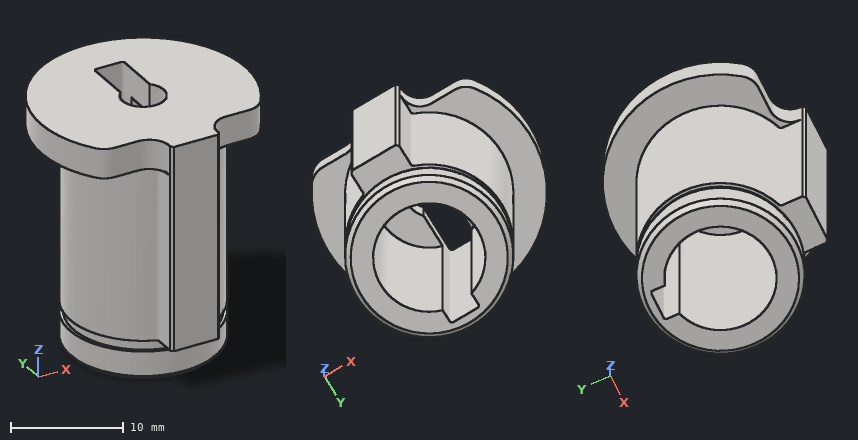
import cadquery as cq
import math

height = 25.0
barrel_radius = 7.5
groove_radius = 7.15
groove_bottom = 3.0
groove_top = 4.1
bottom_chamfer = 0.5

flange_radius = 10.5
flange_thickness = 3.0
flat_y = -7.0
blend_radius = 2.0

key_width = 5.0
key_front_y = -9.5
key_chamfer = 0.25
key_root_radius = 0.25

hole_radius = 2.1
slot_width = 3.0
slot_end_y = 6.2
slot_corner_radius = 0.25

bore_radius = 5.0


def make_barrel():
    """Round barrel with a retaining groove and a chamfered lower edge."""
    barrel = cq.Workplane("XY").circle(barrel_radius).extrude(height)
    barrel = barrel.faces("<Z").edges().chamfer(bottom_chamfer)
    groove = (
        cq.Workplane("XY", origin=(0, 0, groove_bottom))
        .circle(barrel_radius)
        .circle(groove_radius)
        .extrude(groove_top - groove_bottom)
    )
    return barrel.cut(groove)


def make_flange():
    """Disc with a flat edge, rounded ends, and concave blends into the key."""
    round_center_y = flat_y + blend_radius
    round_center_x = math.sqrt((flange_radius - blend_radius) ** 2 - round_center_y ** 2)
    rim_scale = flange_radius / (flange_radius - blend_radius)
    rim_x = round_center_x * rim_scale
    rim_y = round_center_y * rim_scale

    key_x = key_width / 2
    blend_end_x = key_x + blend_radius
    blend_end_y = flat_y - blend_radius
    return (
        cq.Workplane("XY", origin=(0, 0, height - flange_thickness))
        .moveTo(rim_x, rim_y)
        .threePointArc((0, flange_radius), (-rim_x, rim_y))
        .radiusArc((-round_center_x, flat_y), -blend_radius)
        .lineTo(-blend_end_x, flat_y)
        .radiusArc((-key_x, blend_end_y), blend_radius)
        .lineTo(key_x, blend_end_y)
        .radiusArc((blend_end_x, flat_y), blend_radius)
        .lineTo(round_center_x, flat_y)
        .radiusArc((rim_x, rim_y), -blend_radius)
        .close()
        .extrude(flange_thickness)
    )


def make_key():
    """Full-length key from the groove to the top, with chamfered outer edges."""
    key_depth = -key_front_y
    key = (
        cq.Workplane("XY", origin=(0, key_front_y / 2, groove_top))
        .rect(key_width, key_depth)
        .extrude(height - groove_top)
    )
    return key.faces("<Y").edges("|Z").chamfer(key_chamfer)


def make_keyhole():
    """Full-height round hole with a straight slot toward +Y."""
    hole = cq.Workplane("XY").circle(hole_radius).extrude(height)
    slot = (
        cq.Workplane("XY", origin=(0, slot_end_y / 2, 0))
        .rect(slot_width, slot_end_y)
        .extrude(height)
    )
    slot = slot.faces(">Y").edges("|Z").fillet(slot_corner_radius)
    return hole.union(slot)


def make_bore():
    """Round cavity from the lower end up to the underside of the flange."""
    return cq.Workplane("XY").circle(bore_radius).extrude(height - flange_thickness)


def round_key_roots(body):
    """Fillet the two vertical corners where the key meets the barrel."""
    root_x = key_width / 2
    root_y = -math.sqrt(barrel_radius ** 2 - root_x ** 2)
    mid_z = (groove_top + height) / 2
    for side in (-1, 1):
        root_point = (side * root_x, root_y, mid_z)
        root_edge = cq.selectors.NearestToPointSelector(root_point)
        body = body.edges("|Z").edges(root_edge).fillet(key_root_radius)
    return body


body = round_key_roots(make_barrel().union(make_key()))
result = body.union(make_flange()).cut(make_keyhole()).cut(make_bore())